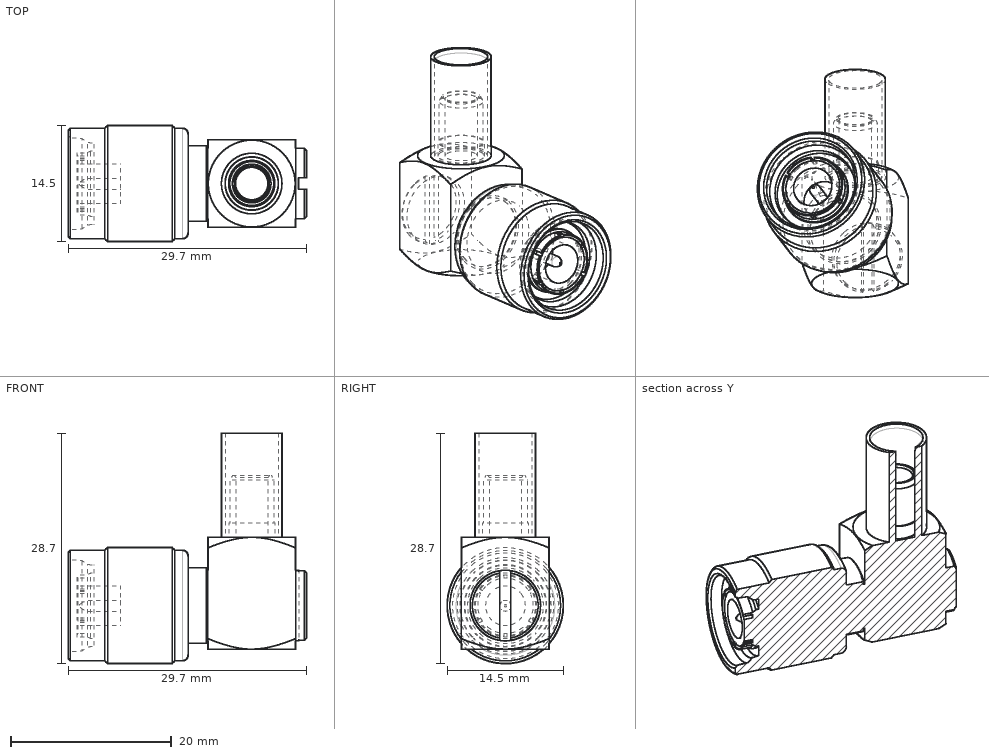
import cadquery as cq
import math


block_width = 10.93
block_start = 17.4
block_end = block_start + block_width
block_bottom = -block_width / 2
block_top = 8.52
block_height = block_top - block_bottom
cable_axis_x = block_start + block_width / 2
corner_cone_radius = 5.4
corner_cone_angle = math.radians(30)

nut_radius = 6.9
grip_radius = 7.25
edge_chamfer = 0.3
grip_start = 4.57
grip_end = 13.3
nut_end = 14.97
nut_fillet = 0.75

mouth_radius = 6.0
entry_radius = 5.7
entry_end_radius = 5.65
throat_radius = 5.15
floor_radius = 5.05
mouth_chamfer_end = 0.3
entry_end = 1.7
throat_start = 2.38
cavity_floor = 3.18

neck_radius = 4.72
neck_end = 17.23
relief_radius = 4.43

contact_base_radius = 4.07
finger_radius = 3.85
contact_tip_inner_radius = 3.75
contact_tip = 1.07
contact_flare_end = 2.8
finger_count = 6
finger_slot_width = 0.42
finger_slot_end = 2.38

insulator_radius = 3.45
insulator_bore_radius = 2.47
insulator_front = 1.22
insulator_bore_end = 6.53
pin_radius = 0.68
pin_tip_radius = 0.15
pin_tip = 1.43
pin_nose_length = 0.98
pin_nose_bulge = 0.1

cap_radius = 4.4
cap_end = 29.7
cap_chamfer = 0.3
driver_slot_width = 1.4
driver_slot_depth = 1.0

tube_radius = 3.77
tube_bore_radius = 3.3
tube_top = 21.45
tube_lead_in_radius = 3.33
tube_lead_in_depth = 0.53
stem_collar_radius = 2.88
stem_radius = 2.73
stem_tip_radius = 2.4
stem_bore_radius = 2.02
stem_mouth_radius = 2.2
stem_height = 7.72
stem_collar_height = 1.78
stem_cone_length = 0.6
stem_countersink = 0.3


def revolve_on_x(points):
    """Revolve (x, radius) points about the mating axis."""
    return cq.Workplane("XY").polyline(points).close().revolve(360, (0, 0, 0), (1, 0, 0))


def revolve_on_cable_axis(points):
    """Revolve (radius, z) points about the cable axis."""
    profile = cq.Workplane("XZ", origin=(cable_axis_x, 0, 0)).polyline(points).close()
    return profile.revolve(360, (0, 0, 0), (0, 1, 0))


def make_block():
    """Square block whose top and bottom corners are turned to a shallow cone."""
    block = cq.Workplane("XY").box(block_width, block_width, block_height)
    block = block.translate((cable_axis_x, 0, (block_top + block_bottom) / 2))
    rim_radius = block_width
    cone_drop = (rim_radius - corner_cone_radius) * math.tan(corner_cone_angle)
    turned_blank = revolve_on_cable_axis([
        (0, block_top),
        (corner_cone_radius, block_top),
        (rim_radius, block_top - cone_drop),
        (rim_radius, block_bottom + cone_drop),
        (corner_cone_radius, block_bottom),
        (0, block_bottom),
    ])
    return block.intersect(turned_blank)


def make_nut():
    """Coupling nut with a raised grip band, a rounded back and an open cavity."""
    grip_step = grip_radius - nut_radius
    body = revolve_on_x([
        (0, 0),
        (0, nut_radius - edge_chamfer),
        (edge_chamfer, nut_radius),
        (nut_end, nut_radius),
        (nut_end, 0),
    ])
    body = body.faces(">X").edges().fillet(nut_fillet)
    grip = revolve_on_x([
        (grip_start, 0),
        (grip_start, nut_radius),
        (grip_start + grip_step, grip_radius),
        (grip_end - grip_step, grip_radius),
        (grip_end, nut_radius),
        (grip_end, 0),
    ])
    cavity = revolve_on_x([
        (0, 0),
        (0, mouth_radius),
        (mouth_chamfer_end, entry_radius),
        (entry_end, entry_end_radius),
        (throat_start, throat_radius),
        (cavity_floor, floor_radius),
        (cavity_floor, 0),
    ])
    return body.union(grip).cut(cavity)


def make_neck():
    """Neck behind the nut with a slightly smaller relief against the block."""
    return revolve_on_x([
        (nut_end, 0),
        (nut_end, neck_radius),
        (neck_end, neck_radius),
        (neck_end, relief_radius),
        (block_start, relief_radius),
        (block_start, 0),
    ])


def make_contact():
    """Outer contact sleeve with slotted fingers, a bevelled mouth and a flared base."""
    sleeve = revolve_on_x([
        (contact_tip, contact_tip_inner_radius),
        (contact_tip, finger_radius),
        (finger_slot_end, finger_radius),
        (contact_flare_end, contact_base_radius),
        (cavity_floor, contact_base_radius),
        (cavity_floor, insulator_radius),
        (insulator_front, insulator_radius),
    ])
    slot_length = finger_slot_end - contact_tip
    slot = cq.Workplane("XY").box(
        slot_length, finger_slot_width, contact_base_radius, centered=(False, True, False)
    )
    slot = slot.translate((contact_tip, 0, insulator_radius))
    for index in range(finger_count):
        sleeve = sleeve.cut(slot.rotate((0, 0, 0), (1, 0, 0), index * 360 / finger_count))
    return sleeve


def make_insulator_bore():
    """Blind bore inside the insulator, open to the nut cavity."""
    return revolve_on_x([
        (insulator_front, 0),
        (insulator_front, insulator_bore_radius),
        (insulator_bore_end, insulator_bore_radius),
        (insulator_bore_end, 0),
    ])


def make_insulator():
    """Insulator core filling the contact sleeve."""
    return revolve_on_x([
        (insulator_front, 0),
        (insulator_front, insulator_radius),
        (cavity_floor, insulator_radius),
        (cavity_floor, 0),
    ])


def make_pin():
    """Centre pin with a bulged nose, standing on the end of the insulator bore."""
    nose_end = pin_tip + pin_nose_length
    nose_middle_x = (pin_tip + nose_end) / 2
    nose_middle_radius = (pin_tip_radius + pin_radius) / 2 + pin_nose_bulge
    profile = (
        cq.Workplane("XY")
        .moveTo(pin_tip, 0)
        .lineTo(pin_tip, pin_tip_radius)
        .threePointArc((nose_middle_x, nose_middle_radius), (nose_end, pin_radius))
        .lineTo(insulator_bore_end, pin_radius)
        .lineTo(insulator_bore_end, 0)
        .close()
    )
    return profile.revolve(360, (0, 0, 0), (1, 0, 0))


def make_cap():
    """Round cap with a chamfered rim and a full-width screwdriver slot."""
    cap = revolve_on_x([
        (block_end, 0),
        (block_end, cap_radius),
        (cap_end - cap_chamfer, cap_radius),
        (cap_end, cap_radius - cap_chamfer),
        (cap_end, 0),
    ])
    slot = cq.Workplane("XY").box(2 * driver_slot_depth, driver_slot_width, 2 * cap_radius)
    return cap.cut(slot.translate((cap_end, 0, 0)))


def make_tube():
    """Thin crimp tube standing on the block, with a slight lead-in at its mouth."""
    return revolve_on_cable_axis([
        (tube_bore_radius, block_top),
        (tube_radius, block_top),
        (tube_radius, tube_top),
        (tube_lead_in_radius, tube_top),
        (tube_bore_radius, tube_top - tube_lead_in_depth),
    ])


def make_stem():
    """Hollow cable stem inside the tube, with a collar and a tapered tip."""
    stem_top = block_top + stem_height
    collar_top = block_top + stem_collar_height
    return revolve_on_cable_axis([
        (stem_bore_radius, block_top),
        (stem_collar_radius, block_top),
        (stem_collar_radius, collar_top),
        (stem_radius, collar_top),
        (stem_radius, stem_top - stem_cone_length),
        (stem_tip_radius, stem_top),
        (stem_mouth_radius, stem_top),
        (stem_bore_radius, stem_top - stem_countersink),
    ])


mating_end = make_nut().union(make_neck()).union(make_contact()).union(make_insulator())
mating_end = mating_end.cut(make_insulator_bore()).union(make_pin())
cable_end = make_tube().union(make_stem())
result = make_block().union(mating_end).union(make_cap()).union(cable_end)